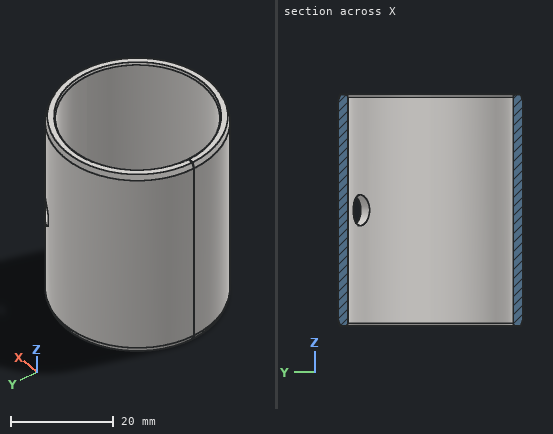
import cadquery as cq
import math

length = 45.0
outer_diameter = 36.0
inner_diameter = 32.0
outer_chamfer_length = 1.2
outer_chamfer_depth = 0.45
inner_chamfer_length = 0.5
inner_chamfer_depth = 0.25
slit_width = 0.2
oil_hole_diameter = 6.0
oil_hole_angle = 58.5
oil_hole_height = length / 2

outer_radius = outer_diameter / 2
inner_radius = inner_diameter / 2


def sleeve():
    """Plain bush with chamfered rims, revolved about Z."""
    profile = [
        (inner_radius + inner_chamfer_depth, 0),
        (outer_radius - outer_chamfer_depth, 0),
        (outer_radius, outer_chamfer_length),
        (outer_radius, length - outer_chamfer_length),
        (outer_radius - outer_chamfer_depth, length),
        (inner_radius + inner_chamfer_depth, length),
        (inner_radius, length - inner_chamfer_length),
        (inner_radius, inner_chamfer_length),
    ]
    return cq.Workplane("XZ").polyline(profile).close().revolve(360, (0, 0), (0, 1))


def slit():
    """Narrow butt joint through the wall at -X, with one face on the XZ plane, along the full length."""
    return cq.Workplane("XY").box(
        outer_radius, slit_width, length, centered=(False, True, False)
    ).translate((-outer_radius, slit_width / 2, 0))


def oil_hole():
    """Radial hole through one wall only."""
    angle = math.radians(oil_hole_angle)
    direction = cq.Vector(math.cos(angle), math.sin(angle), 0)
    start = cq.Vector(0, 0, oil_hole_height)
    return cq.Solid.makeCylinder(oil_hole_diameter / 2, outer_diameter, start, direction)


result = sleeve().cut(slit()).cut(oil_hole())